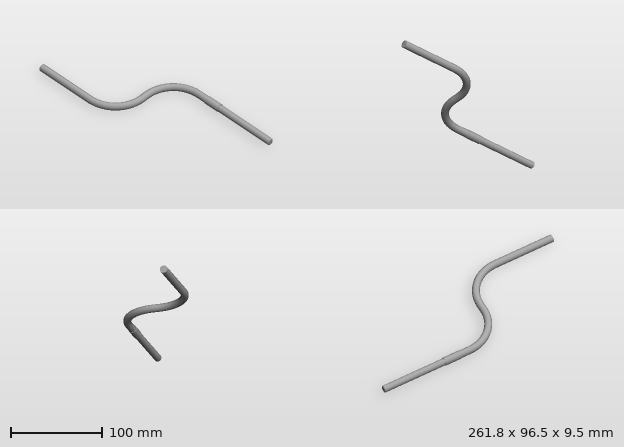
import cadquery as cq

total_length = 261.8
offset_span = 96.5

rod_diameter = 8.6
sleeve_diameter = 9.5
tail_diameter = 8.0
tail_chamfer = 0.8

first_straight = 72.2
middle_straight = 6.3
sleeve_lead = 12.5
sleeve_length = 19.0

centre_offset = offset_span - (rod_diameter + sleeve_diameter) / 2
bend_radius = (centre_offset - middle_straight) / 2
x_start = -total_length / 2
x_bend = x_start + first_straight
x_middle = x_bend + bend_radius
x_upper = x_middle + bend_radius
x_sleeve = x_upper + sleeve_lead
x_tail = x_sleeve + sleeve_length
tail_length = total_length / 2 - x_tail


def bent_rod():
    """Round rod swept along the S-shaped centre line."""
    path = (
        cq.Workplane("XY")
        .moveTo(x_start, 0)
        .lineTo(x_bend, 0)
        .tangentArcPoint((x_middle, bend_radius), relative=False)
        .lineTo(x_middle, bend_radius + middle_straight)
        .tangentArcPoint((x_upper, centre_offset), relative=False)
        .lineTo(x_sleeve, centre_offset)
    )
    section = cq.Workplane("YZ", origin=(x_start, 0, 0)).circle(rod_diameter / 2)
    return section.sweep(path)


def upper_cylinder(x, diameter, length):
    """Cylinder on the upper straight, running along +X from x."""
    return cq.Workplane("YZ", origin=(x, centre_offset, 0)).circle(diameter / 2).extrude(length)


sleeve = upper_cylinder(x_sleeve, sleeve_diameter, sleeve_length)
tail = upper_cylinder(x_tail, tail_diameter, tail_length).faces(">X").chamfer(tail_chamfer)

result = bent_rod().union(sleeve).union(tail)